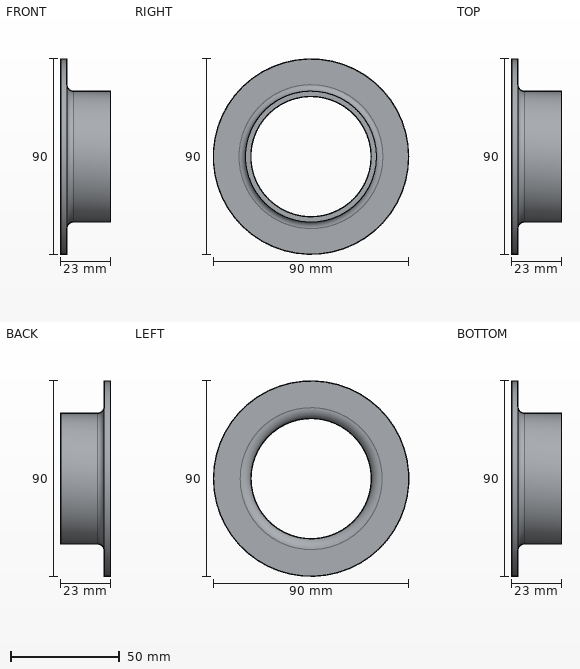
import cadquery as cq

flange_diameter = 90.0
tube_outer_diameter = 60.3
tube_bore_diameter = 55.3
total_length = 23.0
flange_thickness = 3.0
neck_fillet_radius = 3.0
mouth_radius = 5.0


def disc(diameter, length):
    """Cylinder along +X that starts at the outer face of the flange."""
    return cq.Workplane("YZ").circle(diameter / 2).extrude(length)


def make_solid_collar():
    """Flange at X = 0 with a solid stub toward +X, filleted where they meet."""
    collar = disc(flange_diameter, flange_thickness).union(disc(tube_outer_diameter, total_length))
    neck_corner = collar.faces("<X[1]").edges(cq.selectors.RadiusNthSelector(0))
    return neck_corner.fillet(neck_fillet_radius)


def cut_bore(collar):
    """Open the through bore and round its entry on the flange face."""
    bored = collar.cut(disc(tube_bore_diameter, total_length))
    mouth_edge = bored.faces("<X").edges(cq.selectors.RadiusNthSelector(0))
    return mouth_edge.fillet(mouth_radius)


result = cut_bore(make_solid_collar())